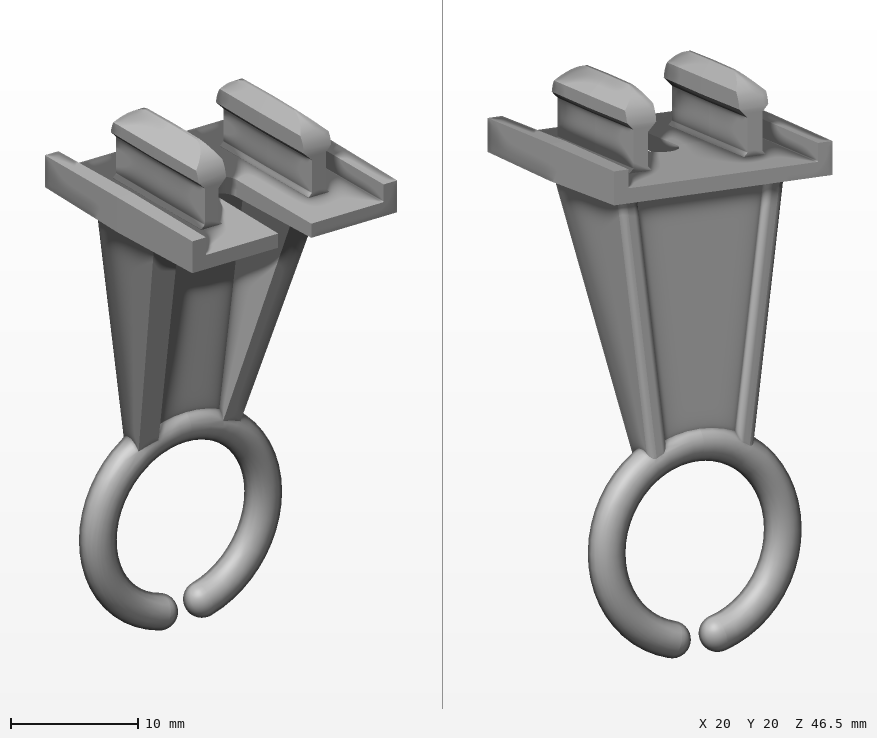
import cadquery as cq
import math


PLATE_SIDE = 20.0
PLATE_THICKNESS = 1.5
RAIL_WIDTH = 1.5
RAIL_TOP = 3.0
SLOT_WIDTH = 3.0
SIDE_DRAFT = 0.5
UNDERSIDE_DRAFT = 1.0

TAB_LENGTH = 12.0
TAB_TOP = 8.0
TAB_CORNER_RADIUS = 2.97
TAB_FOOT_CHAMFER = 0.33
STEM_INNER = 4.45
STEM_OUTER = 5.9
HEAD_INNER = 3.7
HEAD_OUTER = 6.45
HEAD_INNER_SHOULDER = 6.75
HEAD_OUTER_SHOULDER = 6.5
HEAD_INNER_LIP = 5.35
HEAD_OUTER_LIP = 5.5
TIP_INNER = 4.55
TIP_OUTER = 4.85

OVERALL_HEIGHT = 46.5
RING_RADIUS = 8.0
WIRE_RADIUS = 1.5
RING_X = -5.5
RING_END_ANGLE = 15.0
ring_end = math.radians(RING_END_ANGLE)
ring_z = TAB_TOP - OVERALL_HEIGHT + RING_RADIUS * math.cos(ring_end) + WIRE_RADIUS

HANGER_TOP = PLATE_THICKNESS / 2
HANGER_FRONT = -6.85
HANGER_BACK = 2.6
BACK_SLOPE = 17.4
HANGER_HALF_WIDTH = 7.55
SIDE_SLOPE = 7.3
WALL_FLARE = 4.5
WALL_THICKNESS = 1.67
WALL_ROUND = 0.55
WEB_RECESS = 0.6
WEB_THICKNESS = 1.5


def drafted_about_parting_plane(profile, length):
    """Extrude a YZ profile both ways from X = 0, shrinking it with the side draft."""
    half = profile.extrude(length / 2, taper=SIDE_DRAFT)
    return half.union(half.mirror("YZ"))


def make_plate():
    half = PLATE_SIDE / 2
    rail_inner = half - RAIL_WIDTH
    profile = cq.Workplane("YZ").polyline([
        (-half, 0),
        (half, 0),
        (half, RAIL_TOP),
        (rail_inner, RAIL_TOP),
        (rail_inner, PLATE_THICKNESS),
        (-rail_inner, PLATE_THICKNESS),
        (-rail_inner, RAIL_TOP),
        (-half, RAIL_TOP),
    ]).close()
    plate = drafted_about_parting_plane(profile, PLATE_SIDE)

    underside_rise = half * math.tan(math.radians(UNDERSIDE_DRAFT))
    underside = (
        cq.Workplane("XZ")
        .polyline([(0, 0), (half, underside_rise), (half, -0.45), (-half, -0.45), (-half, underside_rise)])
        .close()
        .extrude(half, both=True)
    )
    return plate.cut(underside)


def make_slot():
    half = PLATE_SIDE / 2
    mouth = SLOT_WIDTH / 2 + half * math.tan(math.radians(SIDE_DRAFT))
    return (
        cq.Workplane("XY")
        .moveTo(0, SLOT_WIDTH / 2)
        .threePointArc((-SLOT_WIDTH / 2, 0), (0, -SLOT_WIDTH / 2))
        .lineTo(half, -mouth)
        .lineTo(half, mouth)
        .close()
        .extrude(PLATE_THICKNESS)
    )


def make_tab():
    """Barbed snap tab on the +Y side."""
    foot = PLATE_THICKNESS / 2
    foot_top = PLATE_THICKNESS + TAB_FOOT_CHAMFER
    profile = cq.Workplane("YZ").polyline([
        (STEM_INNER - TAB_FOOT_CHAMFER, foot),
        (STEM_OUTER + TAB_FOOT_CHAMFER, foot),
        (STEM_OUTER + TAB_FOOT_CHAMFER, PLATE_THICKNESS),
        (STEM_OUTER, foot_top),
        (STEM_OUTER, HEAD_OUTER_LIP - (HEAD_OUTER - STEM_OUTER)),
        (HEAD_OUTER, HEAD_OUTER_LIP),
        (HEAD_OUTER, HEAD_OUTER_SHOULDER),
        (TIP_OUTER, TAB_TOP),
        (TIP_INNER, TAB_TOP),
        (HEAD_INNER, HEAD_INNER_SHOULDER),
        (HEAD_INNER, HEAD_INNER_LIP),
        (STEM_INNER, HEAD_INNER_LIP - (STEM_INNER - HEAD_INNER)),
        (STEM_INNER, foot_top),
        (STEM_INNER - TAB_FOOT_CHAMFER, PLATE_THICKNESS),
    ]).close()
    tab = drafted_about_parting_plane(profile, TAB_LENGTH)
    rounded_outline = (
        cq.Workplane("XY")
        .box(TAB_LENGTH, PLATE_SIDE, TAB_TOP, centered=(True, True, False))
        .edges("|Y and >Z")
        .fillet(TAB_CORNER_RADIUS)
    )
    return tab.intersect(rounded_outline)


def make_ring():
    """Round wire bent about an X axis, open at the bottom, with a hemisphere on each end."""
    centre = cq.Vector(RING_X, 0, ring_z)
    top_section = cq.Plane(
        origin=centre + cq.Vector(0, 0, RING_RADIUS),
        xDir=(0, 0, -1),
        normal=(0, 1, 0),
    )
    arm = (
        cq.Workplane(top_section)
        .circle(WIRE_RADIUS)
        .revolve(180 - RING_END_ANGLE, (RING_RADIUS, 0), (RING_RADIUS, 1))
    )
    end_centre = centre + cq.Vector(0, math.sin(ring_end), -math.cos(ring_end)) * RING_RADIUS
    end_direction = cq.Vector(0, -math.cos(ring_end), -math.sin(ring_end))
    cap = cq.Solid.makeSphere(WIRE_RADIUS, end_centre, end_direction, 0, 90)
    arm = arm.union(cq.Workplane(cap))
    return arm.union(arm.mirror("XZ"), clean=False)


def hanger_block(front, back, half_width, flare):
    """Solid tapering towards the ring; half_width is at Z = 0 on the hanger front plane."""
    spread = math.tan(math.radians(flare))
    narrowing = math.tan(math.radians(SIDE_SLOPE))

    def trapezoid(x):
        middle = half_width + (x - HANGER_FRONT) * spread
        top_half = middle + HANGER_TOP * narrowing
        base_half = middle + ring_z * narrowing
        return [
            (-base_half, ring_z),
            (base_half, ring_z),
            (top_half, HANGER_TOP),
            (-top_half, HANGER_TOP),
        ]

    return (
        cq.Workplane("YZ", origin=(front, 0, 0))
        .polyline(trapezoid(front)).close()
        .workplane(offset=back - front)
        .polyline(trapezoid(back)).close()
        .loft(ruled=True)
    )


def make_hanger():
    web_front = HANGER_FRONT + WEB_RECESS
    web_back = web_front + WEB_THICKNESS
    inner_half_width = HANGER_HALF_WIDTH - WALL_THICKNESS

    block = hanger_block(HANGER_FRONT, HANGER_BACK, HANGER_HALF_WIDTH, WALL_FLARE)
    front_recess = hanger_block(HANGER_FRONT, web_front, inner_half_width, 0)
    back_recess = hanger_block(web_back, HANGER_BACK, inner_half_width, 0)
    hanger = block.cut(front_recess)
    hanger = hanger.faces("<X").edges("not |Y").fillet(WALL_ROUND)
    hanger = hanger.cut(back_recess)

    back_shift = -ring_z * math.tan(math.radians(BACK_SLOPE))
    sloped_back = (
        cq.Workplane("XZ")
        .polyline([(HANGER_BACK, 0), (HANGER_BACK, ring_z), (HANGER_BACK - back_shift, ring_z)])
        .close()
        .extrude(PLATE_SIDE / 2, both=True)
    )
    ring_bore = (
        cq.Workplane("YZ")
        .center(0, ring_z)
        .circle(RING_RADIUS - WIRE_RADIUS / 4)
        .extrude(PLATE_SIDE, both=True)
    )
    return hanger.cut(sloped_back).cut(ring_bore)


tab = make_tab()
result = make_plate().cut(make_slot())
result = result.union(tab).union(tab.mirror("XZ"))
result = result.union(make_hanger()).union(make_ring(), clean=False)